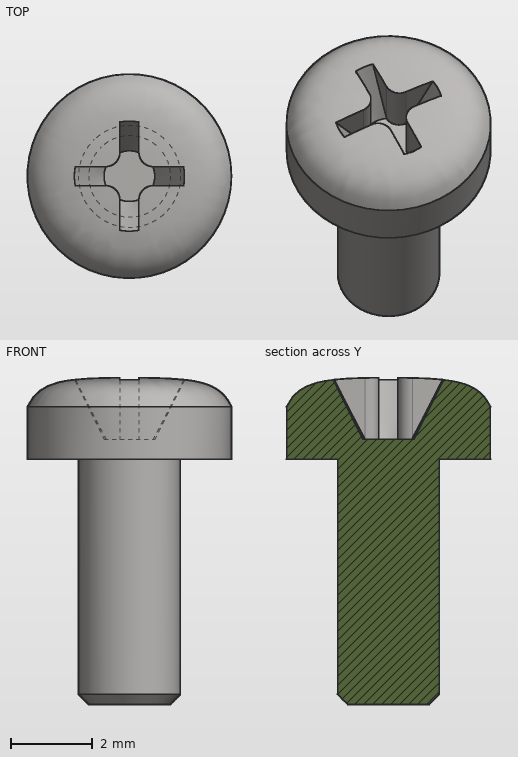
import cadquery as cq
import math

head_diameter = 5.0
head_height = 2.0
rim_height = 1.29
crown_flat_reach = 1.6
crown_edge_handle = (0.31, 0.644)

shank_diameter = 2.5
shank_length = 6.0
tip_chamfer = 0.25

wing_width = 0.465
corner_radius = 0.35
recess_top_radius = 1.37
recess_floor_radius = 0.62
recess_half_angle = 26.5

head_radius = head_diameter / 2
shank_radius = shank_diameter / 2
recess_depth = (recess_top_radius - recess_floor_radius) / math.tan(math.radians(recess_half_angle))


def make_head():
    """Pan head, seated on z = 0."""
    handle_in, handle_up = crown_edge_handle
    crown_curve = [
        (head_radius, rim_height),
        (head_radius - handle_in, rim_height + handle_up),
        (crown_flat_reach, head_height),
        (0, head_height),
    ]
    profile = (
        cq.Workplane("XZ")
        .lineTo(head_radius, 0)
        .lineTo(head_radius, rim_height)
        .bezier(crown_curve)
        .close()
    )
    return profile.revolve(360, (0, 0, 0), (0, 1, 0))


def make_shank():
    """Plain shank hanging below the head, with a chamfered tip."""
    shank = cq.Workplane("XY").circle(shank_radius).extrude(-shank_length)
    return shank.faces("<Z").chamfer(tip_chamfer)


def make_recess():
    """Cross of two slots with rounded inner corners, trimmed to a cone."""
    floor_z = head_height - recess_depth
    wing_length = 2 * head_radius
    base = cq.Workplane("XY").workplane(offset=floor_z)
    cross = (
        base.rect(wing_length, wing_width)
        .extrude(recess_depth)
        .union(base.rect(wing_width, wing_length).extrude(recess_depth))
    )
    inner_corners = cq.selectors.BoxSelector(
        (-wing_width, -wing_width, floor_z),
        (wing_width, wing_width, head_height),
    )
    cross = cross.edges("|Z").edges(inner_corners).fillet(corner_radius)
    cone = (
        base.circle(recess_floor_radius)
        .workplane(offset=recess_depth)
        .circle(recess_top_radius)
        .loft(ruled=True)
    )
    return cross.intersect(cone)


result = make_head().union(make_shank()).cut(make_recess())